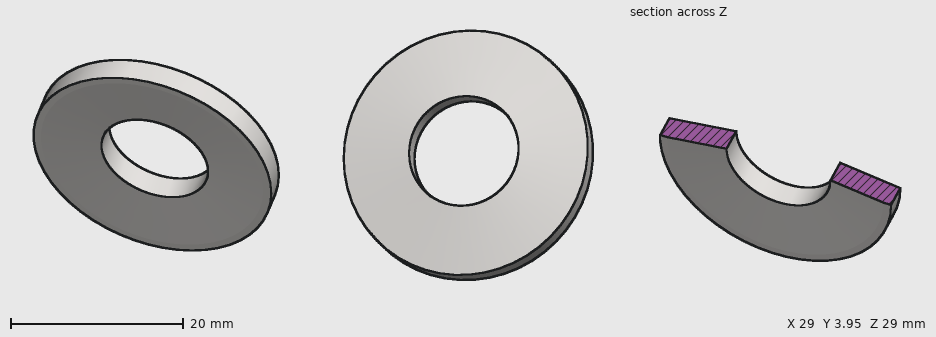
import cadquery as cq

outer_radius = 14.5
hole_radius = 6.5
seat_inner_radius = 13.55
rim_height = 2.9
total_height = 3.95

cone_slope = (total_height - rim_height) / (outer_radius - hole_radius)
dish_depth = cone_slope * (seat_inner_radius - hole_radius)

seat_y = -total_height / 2
rim_top_y = seat_y + rim_height
crown_y = seat_y + total_height
dish_y = seat_y + dish_depth

section = (
    cq.Workplane("XY")
    .moveTo(hole_radius, dish_y)
    .lineTo(seat_inner_radius, seat_y)
    .lineTo(outer_radius, seat_y)
    .lineTo(outer_radius, rim_top_y)
    .lineTo(hole_radius, crown_y)
    .close()
)

result = section.revolve(360, (0, 0, 0), (0, 1, 0))